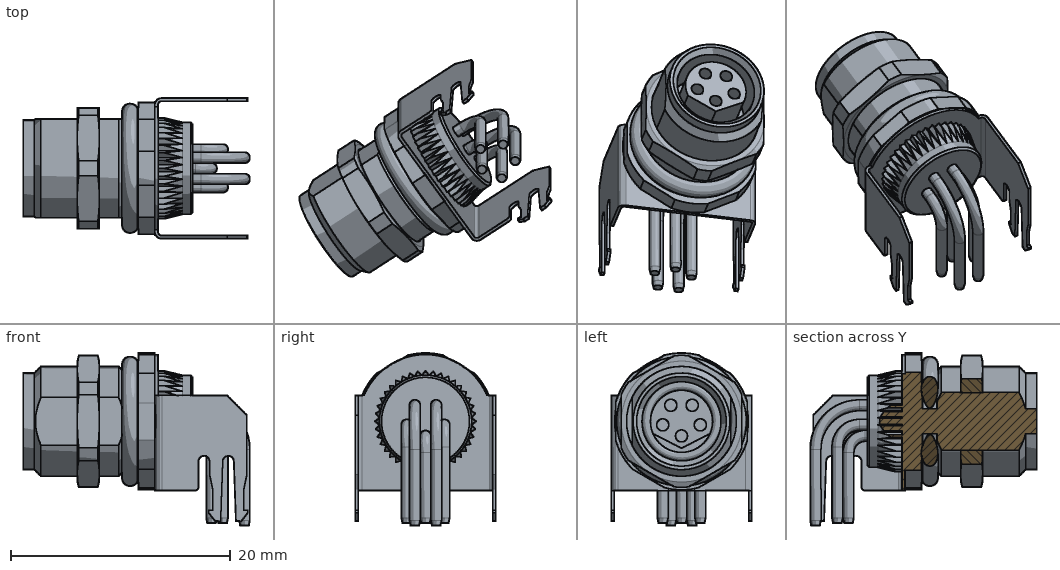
import cadquery as cq
import math


nose_diameter = 8.8
nose_end = 1.03
thread_diameter = 10.0
thread_flats = 9.0
thread_chamfer = (thread_diameter - nose_diameter) / 2
thread_end = 9.1
shoulder_diameter = 9.2
shoulder_chamfer = (thread_diameter - shoulder_diameter) / 2
flange_front = 10.5
flange_back = 12.0
flange_diameter = 12.46
flange_across_flats = 12.0
collar_diameter = 11.1
collar_thickness = 0.1

bore_diameter = 7.2
bore_chamfer = 0.48
bore_floor = 5.0
insert_diameter = 5.65
insert_face = 0.5
bead_diameter = (bore_diameter - insert_diameter) / 2
key_half_width = 2.61
key_side_z = -1.11
key_tip_z = -2.45
contact_hole_diameter = 1.1
contact_hole_depth = 4.0

knurl_teeth = 40
knurl_diameter = 9.2
knurl_taper_start = 12.84
knurl_end = 14.48
plug_diameter = 8.4
plug_end = 15.44
plug_edge_chamfer = 0.2

pin_diameter = 1.0
pin_tip_diameter = 0.8
pin_tip_length = 0.5
pin_embedding = 1.0
pin_root = plug_end - pin_embedding
upper_row = (0.97, 1.46)
middle_row = (1.71, -0.32)
lower_row = (0.0, -1.33)
upper_pin_x = 20.15
middle_pin_x = 18.16
lower_pin_x = 17.15
upper_pin_bottom = -9.5
short_pin_bottom = -9.27
upper_bend = 4.0
middle_bend = 2.0
lower_bend = 1.5

sheet = 0.3
bracket_width = 12.8
bend_outer_radius = 0.6
bracket_crown_radius = 6.08
wing_top = 2.35
wing_bottom = -6.3
wing_end = 20.37
wing_corner_cut = 1.79
wing_corner_fillet = 0.3
slot_width = 1.0
slot_top = -3.15
tine_middle_x = 18.67
tine_outer = wing_end - tine_middle_x
tine_waist = 1.43
tine_barb = 1.78
tine_tip = 1.18
tine_gap_at_tip = 0.69
tine_taper_top = -4.8
tine_taper_bottom = -6.13
barb_top = -8.08
barb_bottom = -8.32
tine_bottom = -9.09

nut_front = 4.94
nut_thickness = 2.0
nut_across_flats = 11.0
nut_diameter = 12.0
nut_chamfer_angle = 15.0

ring_section = 1.5
ring_middle_radius = (nose_diameter + ring_section) / 2
ring_middle_x = flange_front - ring_section / 2


def disc(diameter, start, end):
    """Cylinder on the X axis between two X positions."""
    return cq.Workplane("YZ").workplane(offset=start).circle(diameter / 2).extrude(end - start)


def hexagon(across_flats, start, end):
    """Hexagonal prism on the X axis with flats facing +Y and -Y and corners at +Z and -Z."""
    corner_diameter = across_flats / math.cos(math.radians(30))
    prism = cq.Workplane("YZ").polygon(6, corner_diameter).extrude(end - start)
    return prism.rotate((0, 0, 0), (1, 0, 0), 90).translate((start, 0, 0))


def revolved(profile):
    """Turn a closed (x, radius) outline about the X axis."""
    return cq.Workplane("XY").polyline(profile).close().revolve(360, (0, 0, 0), (1, 0, 0))


def torus(middle_x, middle_radius, section_diameter):
    """Round ring about the X axis."""
    section = cq.Workplane("XY").center(middle_x, middle_radius).circle(section_diameter / 2)
    return section.revolve(360, (-middle_x, -middle_radius, 0), (1 - middle_x, -middle_radius, 0))


def make_shell():
    """Nose, flatted thread, collar and hexagonal flange."""
    thread_radius = thread_diameter / 2
    nose_radius = nose_diameter / 2
    thread = revolved([
        (nose_end, 0),
        (nose_end, nose_radius),
        (nose_end + thread_chamfer, thread_radius),
        (thread_end - shoulder_chamfer, thread_radius),
        (thread_end, shoulder_diameter / 2),
        (thread_end, 0),
    ])
    flats = cq.Workplane("XY").box(2 * flange_back, thread_flats, 2 * thread_diameter)
    thread = thread.intersect(flats)
    collar = disc(collar_diameter, flange_front - collar_thickness, flange_front)
    collar = collar.cut(torus(ring_middle_x, ring_middle_radius, ring_section))
    flange = disc(flange_diameter, flange_front, flange_back)
    flange = flange.intersect(hexagon(flange_across_flats, flange_front, flange_back))
    return disc(nose_diameter, 0, flange_front).union(thread).union(flange).union(collar)


def make_bore():
    """Space removed for the mating plug: a chamfered bore."""
    bore_radius = bore_diameter / 2
    return revolved([
        (0, 0),
        (0, bore_radius + bore_chamfer),
        (bore_chamfer, bore_radius),
        (bore_floor, bore_radius),
        (bore_floor, 0),
    ])


def make_insert():
    """Contact carrier with a V-shaped key side, and the rounded bead at its foot."""
    carrier = disc(insert_diameter, insert_face, bore_floor)
    key_outline = [
        (-key_half_width, key_side_z),
        (0, key_tip_z),
        (key_half_width, key_side_z),
        (insert_diameter, key_side_z),
        (insert_diameter, insert_diameter),
        (-insert_diameter, insert_diameter),
        (-insert_diameter, key_side_z),
    ]
    keyed = cq.Workplane("YZ").polyline(key_outline).close().extrude(bore_floor)
    bead = torus(bore_floor, (bore_diameter - bead_diameter) / 2, bead_diameter)
    return carrier.intersect(keyed).union(bead)


def contact_places():
    """(y, z) of the five contacts."""
    rows = [lower_row]
    for y, z in (upper_row, middle_row):
        rows += [(-y, z), (y, z)]
    return rows


def make_contact_holes():
    """Blind holes in the insert face."""
    face = cq.Workplane("YZ").workplane(offset=insert_face)
    return face.pushPoints(contact_places()).circle(contact_hole_diameter / 2).extrude(contact_hole_depth)


def make_knurled_plug():
    """V-toothed knurl cut back by a cone, followed by the plain plug end."""
    tip_radius = knurl_diameter / 2
    plug_radius = plug_diameter / 2
    tooth_outline = []
    for tooth in range(knurl_teeth):
        for half_step, radius in ((0, tip_radius), (0.5, plug_radius)):
            angle = 2 * math.pi * (tooth + half_step) / knurl_teeth
            tooth_outline.append((radius * math.cos(angle), radius * math.sin(angle)))
    knurl = cq.Workplane("YZ").workplane(offset=flange_back)
    knurl = knurl.polyline(tooth_outline).close().extrude(knurl_end - flange_back)
    cone = revolved([
        (flange_back, 0),
        (flange_back, tip_radius),
        (knurl_taper_start, tip_radius),
        (knurl_end, plug_radius),
        (knurl_end, 0),
    ])
    plug = disc(plug_diameter, bore_floor, plug_end).faces(">X").chamfer(plug_edge_chamfer)
    return knurl.intersect(cone).union(plug)


def make_pin(y, z, bend_radius, vertical_x, bottom):
    """Round pin running along X, bent down to -Z, with a tapered tip."""
    bend_start = vertical_x - bend_radius
    bend_end_z = z - bend_radius
    shoulder_z = bottom + pin_tip_length
    diagonal = bend_radius * math.sin(math.radians(45))
    bend_middle = (bend_start + diagonal, bend_end_z + diagonal)
    path = cq.Workplane("XZ", origin=(0, y, 0)).moveTo(pin_root, z).lineTo(bend_start, z)
    path = path.threePointArc(bend_middle, (vertical_x, bend_end_z)).lineTo(vertical_x, shoulder_z)
    start = cq.Workplane("YZ", origin=(pin_root, y, z))
    pin = start.circle(pin_diameter / 2).sweep(path)
    tip = cq.Solid.makeCone(
        pin_diameter / 2,
        pin_tip_diameter / 2,
        pin_tip_length,
        pnt=cq.Vector(vertical_x, y, shoulder_z),
        dir=cq.Vector(0, 0, -1),
    )
    return pin.union(cq.Workplane(obj=tip))


def make_pins():
    """The five bent contact pins."""
    pins = [make_pin(*lower_row, lower_bend, lower_pin_x, short_pin_bottom)]
    for side in (-1, 1):
        y, z = upper_row
        pins.append(make_pin(side * y, z, upper_bend, upper_pin_x, upper_pin_bottom))
        y, z = middle_row
        pins.append(make_pin(side * y, z, middle_bend, middle_pin_x, short_pin_bottom))
    return pins


def make_wing_outline():
    """Side shape of the bracket in XZ: a plate ending in two mirrored, barbed tines."""
    slot_radius = slot_width / 2
    slot_shoulder = slot_top - slot_radius
    left_slot_end = tine_middle_x - tine_outer
    left_slot_middle = left_slot_end - slot_radius
    left_slot_start = left_slot_end - slot_width
    outline = cq.Workplane("XZ", origin=(0, bracket_width, 0))
    outline = outline.moveTo(flange_back, wing_bottom).lineTo(left_slot_start, wing_bottom)
    outline = outline.lineTo(left_slot_start, slot_shoulder)
    outline = outline.threePointArc((left_slot_middle, slot_top), (left_slot_end, slot_shoulder))
    tine_edge = [
        (tine_outer, tine_taper_top),
        (tine_waist, tine_taper_bottom),
        (tine_waist, barb_top),
        (tine_barb, barb_top),
        (tine_barb, barb_bottom),
        (tine_tip, tine_bottom),
        (tine_gap_at_tip, tine_bottom),
        (slot_radius, slot_shoulder),
    ]
    for distance, z in tine_edge:
        outline = outline.lineTo(tine_middle_x - distance, z)
    outline = outline.threePointArc(
        (tine_middle_x, slot_top),
        (tine_middle_x + slot_radius, slot_shoulder),
    )
    for distance, z in reversed(tine_edge[:-1]):
        outline = outline.lineTo(tine_middle_x + distance, z)
    outline = outline.lineTo(wing_end, wing_top - wing_corner_cut)
    outline = outline.lineTo(wing_end - wing_corner_cut, wing_top).lineTo(flange_back, wing_top)
    solid = outline.close().extrude(2 * bracket_width)
    inner_corner = cq.selectors.NearestToPointSelector((left_slot_start, 0, wing_bottom))
    return solid.edges("|Y").edges(inner_corner).fillet(wing_corner_fillet)


def make_bracket():
    """Bent sheet: a front plate with a round crown and two side wings."""
    length = tine_middle_x + tine_barb - flange_back
    height = wing_top - tine_bottom
    outer = cq.Workplane("XY").box(length, bracket_width, height, centered=(False, True, False))
    outer = outer.edges("|Z and <X").fillet(bend_outer_radius)
    inner_width = bracket_width - 2 * sheet
    inner = cq.Workplane("XY").box(length, inner_width, height, centered=(False, True, False))
    inner = inner.edges("|Z and <X").fillet(bend_outer_radius - sheet).translate((sheet, 0, 0))
    channel = outer.cut(inner).translate((flange_back, 0, tine_bottom))
    crown = disc(2 * bracket_crown_radius, flange_back, flange_back + sheet)
    return channel.intersect(make_wing_outline()).union(crown)


def make_connector():
    """Shell, insert, rear plug, pins and bracket as one solid."""
    body = make_shell().union(make_knurled_plug()).cut(make_bore())
    body = body.union(make_insert()).cut(make_contact_holes())
    body = body.union(make_bracket())
    for pin in make_pins():
        body = body.union(pin)
    return body


def make_nut():
    """Hexagon nut with chamfered corners on both sides and a round bore."""
    nut_end = nut_front + nut_thickness
    face_radius = nut_across_flats / 2
    corner_radius = nut_diameter / 2
    bevel = (corner_radius - face_radius) * math.tan(math.radians(nut_chamfer_angle))
    blank = revolved([
        (nut_front, 0),
        (nut_front, face_radius),
        (nut_front + bevel, corner_radius),
        (nut_end - bevel, corner_radius),
        (nut_end, face_radius),
        (nut_end, 0),
    ])
    nut = blank.intersect(hexagon(nut_across_flats, nut_front, nut_end))
    return nut.cut(disc(thread_diameter, nut_front, nut_end))


def make_sealing_ring():
    """Round ring seated on the shell against the flange."""
    return torus(ring_middle_x, ring_middle_radius, ring_section)


connector = make_connector()
nut = make_nut()
sealing_ring = make_sealing_ring()

result = cq.Compound.makeCompound([
    connector.solids().val(),
    nut.solids().val(),
    sealing_ring.solids().val(),
])